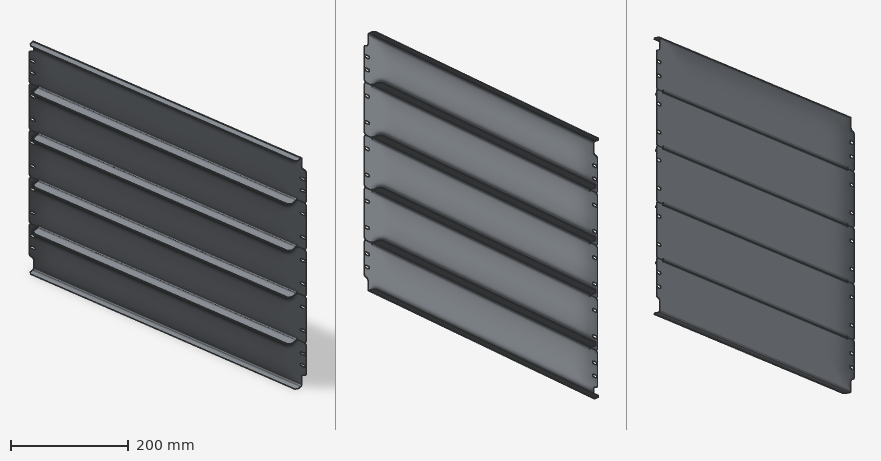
import cadquery as cq
import math

WIDTH = 576.5
HEIGHT = 490.0
DEPTH = 20.0
HALF_WIDTH = WIDTH / 2
HALF_DEPTH = DEPTH / 2

MIDDLE_COUNT = 3
END_HEIGHT = 95.0
MIDDLE_HEIGHT = (HEIGHT - 2 * END_HEIGHT) / MIDDLE_COUNT
END_CENTRE = (HEIGHT - END_HEIGHT) / 2

SHEET = 1.0
BEND_INSIDE = 1.95
BEND_OUTSIDE = BEND_INSIDE + SHEET

JOINT_FLANGE_HALF_LENGTH = 269.0
JOINT_FLANGE_CHAMFER = 6.0

RIM_FLANGE_DEPTH = 15.0
RIM_FLANGE_HALF_LENGTH = 279.0
RIM_FLANGE_CHAMFER = 4.0

JOINT_CORNER_RADIUS = 5.0
NOTCH_HEIGHT = 25.0
NOTCH_OUTER_RADIUS = 4.5
NOTCH_INNER_RADIUS = 5.0

SLOT_LENGTH = 11.0
SLOT_WIDTH = 5.0
SLOT_EDGE_GAP = 1.0
SLOT_X = HALF_WIDTH - SLOT_EDGE_GAP - SLOT_LENGTH / 2
SLOT_SPACING = MIDDLE_HEIGHT / 4


def back_plate(height):
    """Flat sheet against the back face, centred on Z = 0."""
    return cq.Workplane("XY").box(WIDTH, SHEET, height).translate((0, HALF_DEPTH - SHEET / 2, 0))


def flange(edge_z, depth, half_length, chamfer):
    """Forward flange with its outer face at edge_z, joined to the plate by a round bend."""
    inward = -1 if edge_z > 0 else 1
    back_y = HALF_DEPTH
    front_y = back_y - depth
    bend_y = back_y - BEND_OUTSIDE
    inner_z = edge_z + inward * SHEET
    bend_z = edge_z + inward * BEND_OUTSIDE
    diagonal = math.sqrt(0.5)
    profile = (
        cq.Workplane("YZ")
        .moveTo(front_y, edge_z)
        .lineTo(bend_y, edge_z)
        .threePointArc(
            (bend_y + BEND_OUTSIDE * diagonal, bend_z - inward * BEND_OUTSIDE * diagonal),
            (back_y, bend_z),
        )
        .lineTo(back_y - SHEET, bend_z)
        .threePointArc(
            (bend_y + BEND_INSIDE * diagonal, bend_z - inward * BEND_INSIDE * diagonal),
            (bend_y, inner_z),
        )
        .lineTo(front_y, inner_z)
        .close()
    )
    strip = profile.extrude(half_length, both=True)
    return strip.faces("<Y").edges("|Z").chamfer(chamfer)


def bend_clearance(edge_z, half_length):
    """Strip of the flat plate that a bend takes the place of."""
    side = 1 if edge_z > 0 else -1
    centre_z = edge_z - side * BEND_OUTSIDE / 2
    return (
        cq.Workplane("XY")
        .box(2 * half_length, SHEET, BEND_OUTSIDE)
        .translate((0, HALF_DEPTH - SHEET / 2, centre_z))
    )


def add_flange(panel, edge_z, depth, half_length, chamfer):
    bend = flange(edge_z, depth, half_length, chamfer)
    return panel.cut(bend_clearance(edge_z, half_length)).union(bend)


def add_joint_flange(panel, edge_z):
    return add_flange(panel, edge_z, DEPTH, JOINT_FLANGE_HALF_LENGTH, JOINT_FLANGE_CHAMFER)


def cut_slots(panel, heights):
    """Pairs of horizontal slots through the plate, one pair at each height."""
    centres = [(side * SLOT_X, z) for side in (-1, 1) for z in heights]
    slots = (
        cq.Workplane("XZ")
        .pushPoints(centres)
        .slot2D(SLOT_LENGTH, SLOT_WIDTH)
        .extrude(DEPTH, both=True)
    )
    return panel.cut(slots)


def middle_panel(centre_z):
    half_height = MIDDLE_HEIGHT / 2
    panel = back_plate(MIDDLE_HEIGHT).edges("|Y").fillet(JOINT_CORNER_RADIUS)
    for edge_z in (-half_height, half_height):
        panel = add_joint_flange(panel, edge_z)
    panel = cut_slots(panel, (-SLOT_SPACING, SLOT_SPACING))
    return panel.translate((0, 0, centre_z))


def notched_plate():
    """End panel sheet with its two upper corners stepped inward."""
    half_height = END_HEIGHT / 2
    plate = back_plate(END_HEIGHT).edges("|Y and <Z").fillet(JOINT_CORNER_RADIUS)
    notch_width = HALF_WIDTH - RIM_FLANGE_HALF_LENGTH
    notch_x = HALF_WIDTH - notch_width / 2
    for side in (-1, 1):
        notch = (
            cq.Workplane("XY")
            .box(notch_width, DEPTH, NOTCH_HEIGHT)
            .edges("|Y and <Z")
            .edges(">X" if side < 0 else "<X")
            .fillet(NOTCH_INNER_RADIUS)
            .translate((side * notch_x, HALF_DEPTH, half_height - NOTCH_HEIGHT / 2))
        )
        plate = plate.cut(notch)
    shoulder_corners = plate.edges("|Y").edges("<X or >X").edges(">Z")
    return shoulder_corners.fillet(NOTCH_OUTER_RADIUS)


def top_panel():
    half_height = END_HEIGHT / 2
    panel = notched_plate()
    panel = add_joint_flange(panel, -half_height)
    panel = add_flange(
        panel, half_height, RIM_FLANGE_DEPTH, RIM_FLANGE_HALF_LENGTH, RIM_FLANGE_CHAMFER
    )
    panel = cut_slots(panel, (SLOT_SPACING - half_height, 2 * SLOT_SPACING - half_height))
    return panel.translate((0, 0, END_CENTRE))


upper_end = top_panel()
lower_end = upper_end.mirror("XY")
middle_panels = [
    middle_panel((index - (MIDDLE_COUNT - 1) / 2) * MIDDLE_HEIGHT) for index in range(MIDDLE_COUNT)
]

result = cq.Compound.makeCompound(
    [upper_end.val(), lower_end.val(), *[panel.val() for panel in middle_panels]]
)